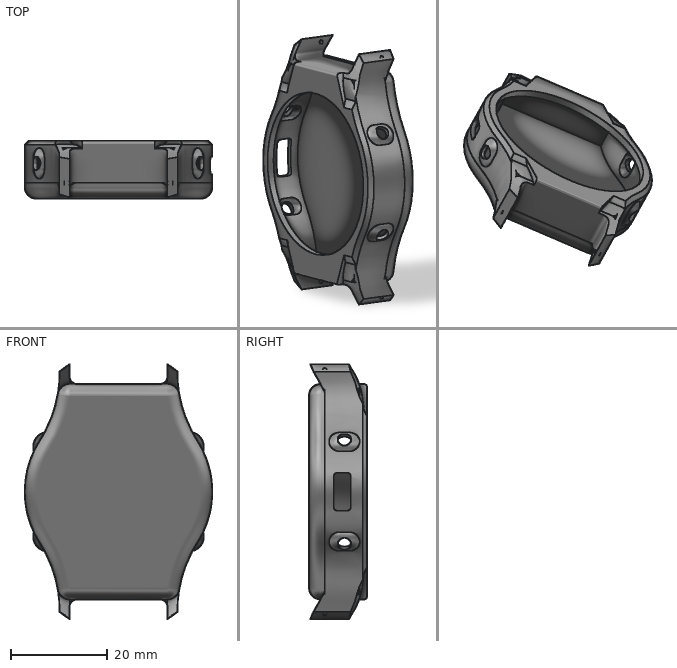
import cadquery as cq
import math

total_depth = 12.11
cover_depth = 3.33
cover_edge_radius = 2.5
cover_corner_radius = 2.55

body_half_height = 22.4
body_radius = 19.5
flank_radius = 26.2
tangent_angle = math.radians(32.7)

wall = 1.0
rim_chamfer = 0.9
end_rim_fillet = 0.7

lug_inner_x = 10.15
lug_tip_z = 26.5
lug_root_radius = 1.5
lug_skew = 0.73
strap_hole_diameter = 0.8
strap_hole_depth = 1.15
strap_hole_y = 3.3
strap_hole_z = 25.3

rim_plate_half_width = 7.48
rim_plate_foot_x = 10.15
step_top_z = 15.6
step_foot_z = 17.3
shelf_y = 11.3
swoop_mid = (22.1, 10.55)
swoop_end = (24.3, 9.6)
lug_tip_rear_y = 8.3
lug_tip_front_y = 0.3
front_twist = 0.3
rear_twist = 0.17

roof_thickness = 1.5
window_radius = 17.0

boss_distance = 17.35
boss_angle = math.radians(32.4)
boss_radius = 3.1
boss_half_straight = 0.95
boss_y = 7.38
boss_wall = 0.9
boss_hole_diameter = 2.8

port_half_height = 3.95
port_y_min = 5.15
port_y_max = 8.73
port_corner_radius = 0.8

flank_centre_distance = body_radius + flank_radius
flank_x = flank_centre_distance * math.cos(tangent_angle)
flank_z = flank_centre_distance * math.sin(tangent_angle)
tangent_x = body_radius * math.cos(tangent_angle)
tangent_z = body_radius * math.sin(tangent_angle)
waist_x = flank_x - flank_radius
outside = 2 * body_radius


def flank_at(z):
    """Half width of the hollow flank at height z."""
    return flank_x - math.sqrt(flank_radius**2 - (z - flank_z) ** 2)


def body_outline():
    end_x = flank_at(body_half_height)
    mid_z = (tangent_z + body_half_height) / 2
    mid_x = flank_at(mid_z)
    return (
        cq.Workplane("XZ")
        .moveTo(-end_x, body_half_height)
        .lineTo(end_x, body_half_height)
        .threePointArc((mid_x, mid_z), (tangent_x, tangent_z))
        .threePointArc((body_radius, 0), (tangent_x, -tangent_z))
        .threePointArc((mid_x, -mid_z), (end_x, -body_half_height))
        .lineTo(-end_x, -body_half_height)
        .threePointArc((-mid_x, -mid_z), (-tangent_x, -tangent_z))
        .threePointArc((-body_radius, 0), (-tangent_x, tangent_z))
        .threePointArc((-mid_x, mid_z), (-end_x, body_half_height))
        .close()
    )


def in_all_corners(shape):
    """The shape and its mirror images at the four corners."""
    pair = [shape, shape.mirror("YZ")]
    return pair + [side.mirror("XY") for side in pair]


def make_cover():
    plate = body_outline().extrude(-cover_depth)
    plate = plate.edges("|Y").edges(">Z or <Z").fillet(cover_corner_radius)
    return plate.faces("<Y").edges().fillet(cover_edge_radius)


def case_outline():
    tip_outer_z = lug_tip_z - lug_skew * (waist_x - lug_inner_x)
    mid_z = (tangent_z + tip_outer_z) / 2
    mid_x = flank_at(mid_z)
    fillet_mid = lug_root_radius * (1 - math.sqrt(0.5))
    fillet_x = lug_inner_x - lug_root_radius
    arc_x = lug_inner_x - fillet_mid
    arc_z = body_half_height + fillet_mid
    fillet_z = body_half_height + lug_root_radius
    return (
        cq.Workplane("XZ")
        .moveTo(-fillet_x, body_half_height)
        .lineTo(fillet_x, body_half_height)
        .threePointArc((arc_x, arc_z), (lug_inner_x, fillet_z))
        .lineTo(lug_inner_x, lug_tip_z)
        .lineTo(waist_x, tip_outer_z)
        .threePointArc((mid_x, mid_z), (tangent_x, tangent_z))
        .threePointArc((body_radius, 0), (tangent_x, -tangent_z))
        .threePointArc((mid_x, -mid_z), (waist_x, -tip_outer_z))
        .lineTo(lug_inner_x, -lug_tip_z)
        .lineTo(lug_inner_x, -fillet_z)
        .threePointArc((arc_x, -arc_z), (fillet_x, -body_half_height))
        .lineTo(-fillet_x, -body_half_height)
        .threePointArc((-arc_x, -arc_z), (-lug_inner_x, -fillet_z))
        .lineTo(-lug_inner_x, -lug_tip_z)
        .lineTo(-waist_x, -tip_outer_z)
        .threePointArc((-mid_x, -mid_z), (-tangent_x, -tangent_z))
        .threePointArc((-body_radius, 0), (-tangent_x, tangent_z))
        .threePointArc((-mid_x, mid_z), (-waist_x, tip_outer_z))
        .lineTo(-lug_inner_x, lug_tip_z)
        .lineTo(-lug_inner_x, fillet_z)
        .threePointArc((-arc_x, arc_z), (-fillet_x, body_half_height))
        .close()
    )


def make_blank():
    blank = case_outline().extrude(-total_depth)
    rim_edges = blank.faces(">Y").edges("%CIRCLE").filter(lambda edge: edge.radius() > body_radius / 2)
    return rim_edges.chamfer(rim_chamfer)


def make_cavity():
    """Hollow inside the wall, with a round window through the roof."""
    full_hollow = body_outline().offset2D(-wall).extrude(-total_depth)
    hollow = body_outline().offset2D(-wall).extrude(-(total_depth - roof_thickness))
    window = cq.Workplane("XZ").circle(window_radius).extrude(-total_depth).intersect(full_hollow)
    return hollow.union(window)


def rear_profile(x, skew_run):
    """Space behind a lug in the plane X = x, skewed by its run beyond the lug's inner face."""
    shift = -lug_skew * skew_run
    tip_y = lug_tip_rear_y + rear_twist * skew_run
    tip_slope = (tip_y - swoop_end[1]) / (lug_tip_z - swoop_end[0])
    end_z = outside
    end_y = swoop_end[1] + tip_slope * (end_z - swoop_end[0])
    return (
        cq.Workplane("YZ", origin=(x, 0, 0))
        .moveTo(outside, step_top_z)
        .lineTo(total_depth, step_top_z)
        .lineTo(shelf_y, step_foot_z)
        .threePointArc((swoop_mid[1], swoop_mid[0] + shift), (swoop_end[1], swoop_end[0] + shift))
        .lineTo(end_y, end_z + shift)
        .lineTo(outside, end_z + shift)
        .close()
    )


def front_profile(x, skew_run):
    """Space in front of a lug in the plane X = x, skewed in the same way."""
    shift = -lug_skew * skew_run
    tip_y = lug_tip_front_y + front_twist * skew_run
    slope = (tip_y - cover_depth) / (lug_tip_z - body_half_height)
    end_y = cover_depth + slope * (outside - body_half_height)
    return (
        cq.Workplane("YZ", origin=(x, 0, 0))
        .moveTo(cover_depth, 0)
        .lineTo(cover_depth, body_half_height + shift)
        .lineTo(end_y, outside + shift)
        .lineTo(-outside, outside + shift)
        .lineTo(-outside, 0)
        .close()
    )


def make_lug_tool(profile):
    """Straight along X up to the lug's inner face, then skewed with the mitred tip."""
    skew_run = body_radius - lug_inner_x
    straight = profile(0, 0).extrude(lug_inner_x)
    inner = profile(lug_inner_x, 0).wires().val()
    outer = profile(body_radius, skew_run).wires().val()
    skewed = cq.Workplane(cq.Solid.makeLoft([inner, outer], True))
    return straight, skewed


def make_rim_plate():
    """Middle of each end wall that keeps its full height, widening towards the step."""
    return (
        cq.Workplane("XZ")
        .moveTo(0, 0)
        .lineTo(rim_plate_foot_x, 0)
        .lineTo(rim_plate_foot_x, step_top_z)
        .lineTo(rim_plate_half_width, body_half_height)
        .lineTo(0, body_half_height)
        .close()
        .extrude(-total_depth)
    )


def make_strap_hole():
    return (
        cq.Workplane("YZ", origin=(lug_inner_x - wall, 0, 0))
        .center(strap_hole_y, strap_hole_z)
        .circle(strap_hole_diameter / 2)
        .extrude(strap_hole_depth + wall)
    )


def make_capsule(radius):
    """Round-ended bar along Y at the +X +Z button."""
    bar = cq.Workplane("XZ").circle(radius).extrude(boss_half_straight, both=True)
    for end in (-boss_half_straight, boss_half_straight):
        bar = bar.union(cq.Workplane("XY").sphere(radius).translate((0, end, 0)))
    return bar.translate((boss_distance * math.cos(boss_angle), boss_y, boss_distance * math.sin(boss_angle)))


def make_button_hole():
    direction = cq.Vector(math.cos(boss_angle), 0, math.sin(boss_angle))
    start = direction * boss_distance + cq.Vector(0, boss_y, 0)
    return cq.Workplane(cq.Solid.makeCylinder(boss_hole_diameter / 2, 2 * boss_radius, start, direction))


def make_port():
    depth = port_y_max - port_y_min
    return (
        cq.Workplane("XY")
        .box(body_radius - tangent_x + wall, depth, 2 * port_half_height)
        .edges("|X")
        .fillet(port_corner_radius)
        .translate((body_radius, (port_y_min + port_y_max) / 2, 0))
    )


def make_case(cover):
    rear_straight, rear_skewed = make_lug_tool(rear_profile)
    rear_straight = rear_straight.cut(make_rim_plate())
    cuts = [*make_lug_tool(front_profile), rear_straight, rear_skewed, make_strap_hole()]
    case = make_blank()
    for cut in cuts:
        for tool in in_all_corners(cut):
            case = case.cut(tool)
    case = case.faces(">Y").edges("|X and (>Z or <Z)").fillet(end_rim_fillet)

    for boss in in_all_corners(make_capsule(boss_radius)):
        case = case.union(boss)
    case = case.cut(make_cavity())
    for cut in (make_capsule(boss_radius - boss_wall), make_button_hole()):
        for tool in in_all_corners(cut):
            case = case.cut(tool)
    return case.cut(make_port()).cut(cover)


cover = make_cover()
case = make_case(cover)
result = cq.Compound.makeCompound([cover.val(), *case.solids().vals()])